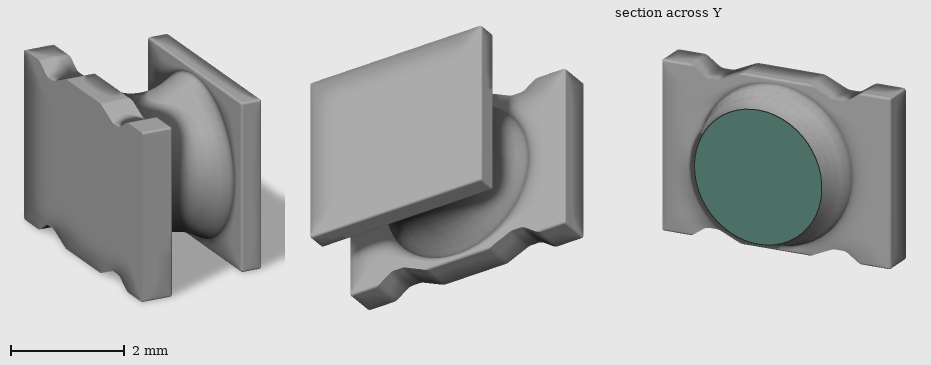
import cadquery as cq

width = 4.5
depth = 2.6
height = 3.2

front_thickness = 0.6
back_thickness = 0.4
back_width = 3.58
edge_radius = 0.04

core_end_radius = 1.5
waist_radius = 1.25

notch_depth = 0.205
notch_outer_top = 1.665
notch_outer_floor = 1.372
notch_inner_floor = 1.125
notch_inner_top = 0.66
notch_corner_radius = 0.2

front_face = -depth / 2
core_start = front_face + front_thickness
core_end = depth / 2 - back_thickness


def plate(plate_width, thickness, start):
    """Full-height plate whose front face lies at Y = start."""
    return (
        cq.Workplane("XY")
        .box(plate_width, thickness, height)
        .translate((0, start + thickness / 2, 0))
    )


def notched_prism():
    """Sharp-edged front flange with two rounded notches along its top and bottom."""
    top = height / 2
    floor = top - notch_depth
    right_notch = [
        (notch_inner_top, top),
        (notch_inner_floor, floor),
        (notch_outer_floor, floor),
        (notch_outer_top, top),
    ]
    left_notch = [(-x, z) for x, z in reversed(right_notch)]
    top_edge = [(-width / 2, top)] + left_notch + right_notch + [(width / 2, top)]
    bottom_edge = [(x, -z) for x, z in reversed(top_edge)]
    prism = (
        cq.Workplane("XZ", origin=(0, front_face, 0))
        .polyline(top_edge + bottom_edge)
        .close()
        .extrude(-front_thickness)
    )
    inside_corners = width / 2 - edge_radius
    notch_span = cq.selectors.BoxSelector(
        (-inside_corners, -depth, -height),
        (inside_corners, depth, height),
    )
    return prism.edges("|Y").edges(notch_span).fillet(notch_corner_radius)


def front_flange():
    """Notched flange with rounded outer corners and rear rim; its front face stays sharp."""
    rounded_plate = plate(width, front_thickness, front_face).edges("|Y or >Y").fillet(edge_radius)
    return rounded_plate.intersect(notched_prism())


def back_flange():
    """Plain narrower flange with every edge rounded."""
    return plate(back_width, back_thickness, core_end).edges().fillet(edge_radius)


def core():
    """Round core along Y, narrowing along an arc to its waist."""
    waist = (core_start + core_end) / 2
    return (
        cq.Workplane("XY")
        .moveTo(0, core_start)
        .lineTo(core_end_radius, core_start)
        .threePointArc((waist_radius, waist), (core_end_radius, core_end))
        .lineTo(0, core_end)
        .close()
        .revolve(360, (0, 0, 0), (0, 1, 0))
    )


result = front_flange().union(core()).union(back_flange())